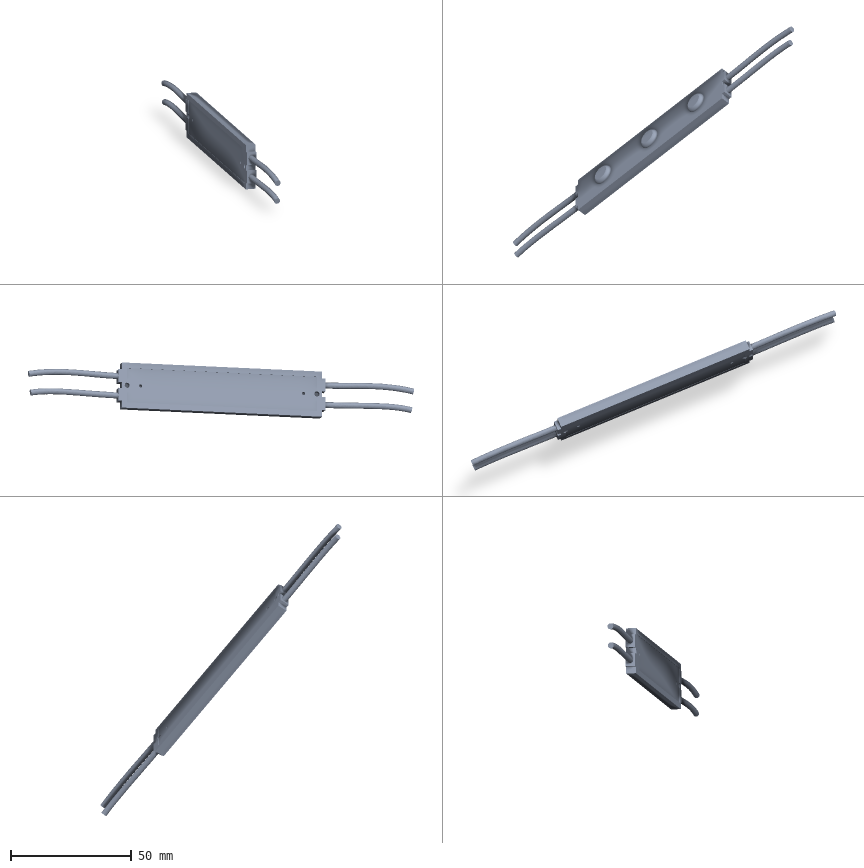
import cadquery as cq
import math

TOTAL_LENGTH = 165.0
TOTAL_DEPTH = 6.0

HOUSING_LENGTH = 85.5
HOUSING_HEIGHT = 19.1
HOUSING_DEPTH = 4.1
TAB_LENGTH = 1.5
TAB_HEIGHT = 5.5
TAB_OFFSET = 4.0
TAB_FACE_X = HOUSING_LENGTH / 2 + TAB_LENGTH

RECESS_LENGTH = 81.1
RECESS_HEIGHT = 14.5
RECESS_DEPTH = 0.2
END_HOLE_DIAMETER = 2.1
SMALL_HOLE_DIAMETER = 1.3
SMALL_HOLE_X = 34.8
HOLE_DEPTH = HOUSING_DEPTH / 2

LENS_COUNT = 3
LENS_PITCH = 27.5
LENS_HEIGHT = TOTAL_DEPTH - HOUSING_DEPTH
LENS_BASE_RADIUS = 4.5
LENS_TOP_RADIUS = 3.3
LENS_SHOULDER_RADIUS = 4.1
LENS_SHOULDER_HEIGHT = 1.2

WIRE_DIAMETER = 2.5
WIRE_CREST_X = 63.5
TIP_DROOP_ANGLE = 12.0
UPPER_ROOT_Z = 4.1
UPPER_WIRE_REACH = TOTAL_LENGTH / 2
UPPER_CREST_RISE = 0.7
UPPER_TIP_DROP = 0.8
LOWER_ROOT_Z = -4.1
LOWER_WIRE_REACH = 81.6
LOWER_CREST_RISE = 0.5
LOWER_TIP_DROP = 0.5


def face_holes(diameter, x):
    """Cutters for a mirrored pair of blind holes in the open face."""
    return (
        cq.Workplane("XZ")
        .pushPoints([(-x, 0), (x, 0)])
        .circle(diameter / 2)
        .extrude(-HOLE_DEPTH)
    )


def make_housing():
    block = cq.Workplane("XZ").rect(HOUSING_LENGTH, HOUSING_HEIGHT).extrude(-HOUSING_DEPTH)
    tabs = (
        cq.Workplane("XZ")
        .pushPoints([(0, -TAB_OFFSET), (0, TAB_OFFSET)])
        .rect(2 * TAB_FACE_X, TAB_HEIGHT)
        .extrude(-HOUSING_DEPTH)
    )
    recess = cq.Workplane("XZ").rect(RECESS_LENGTH, RECESS_HEIGHT).extrude(-RECESS_DEPTH)
    return (
        block.union(tabs)
        .cut(recess)
        .cut(face_holes(END_HOLE_DIAMETER, RECESS_LENGTH / 2))
        .cut(face_holes(SMALL_HOLE_DIAMETER, SMALL_HOLE_X))
    )


def make_lens(x):
    """Round lens with a bulging side and a flat top, standing on the rear face."""
    profile = (
        cq.Workplane("XY")
        .moveTo(0, 0)
        .lineTo(LENS_BASE_RADIUS, 0)
        .threePointArc((LENS_SHOULDER_RADIUS, LENS_SHOULDER_HEIGHT), (LENS_TOP_RADIUS, LENS_HEIGHT))
        .lineTo(0, LENS_HEIGHT)
        .close()
    )
    lens = profile.revolve(360, (0, 0, 0), (0, 1, 0))
    return lens.translate((x, HOUSING_DEPTH, 0))


def make_wire(side, root_z, reach, crest_rise, tip_drop):
    """Round wire from a tab face to its tip; side is -1 for the left end and 1 for the right."""
    droop = math.radians(TIP_DROOP_ANGLE)
    tip_x = reach - WIRE_DIAMETER / 2 * math.sin(droop)
    path = cq.Workplane("XZ", origin=(0, HOUSING_DEPTH / 2, 0)).spline(
        [
            (side * TAB_FACE_X, root_z),
            (side * WIRE_CREST_X, root_z + crest_rise),
            (side * tip_x, root_z - tip_drop),
        ],
        tangents=[(side, 0), (side * math.cos(droop), -math.sin(droop))],
    )
    root_plane = cq.Plane(
        origin=(side * TAB_FACE_X, HOUSING_DEPTH / 2, root_z),
        xDir=(0, 0, 1),
        normal=(side, 0, 0),
    )
    return cq.Workplane(root_plane).circle(WIRE_DIAMETER / 2).sweep(path)


housing = make_housing()

lenses = []
for index in range(LENS_COUNT):
    lenses.append(make_lens((index - (LENS_COUNT - 1) / 2) * LENS_PITCH))

wires = []
for end in (-1, 1):
    wires.append(make_wire(end, UPPER_ROOT_Z, UPPER_WIRE_REACH, UPPER_CREST_RISE, UPPER_TIP_DROP))
    wires.append(make_wire(end, LOWER_ROOT_Z, LOWER_WIRE_REACH, LOWER_CREST_RISE, LOWER_TIP_DROP))

result = cq.Compound.makeCompound(
    [
        housing.val(),
        *[lens.val() for lens in lenses],
        *[wire.val() for wire in wires],
    ]
)